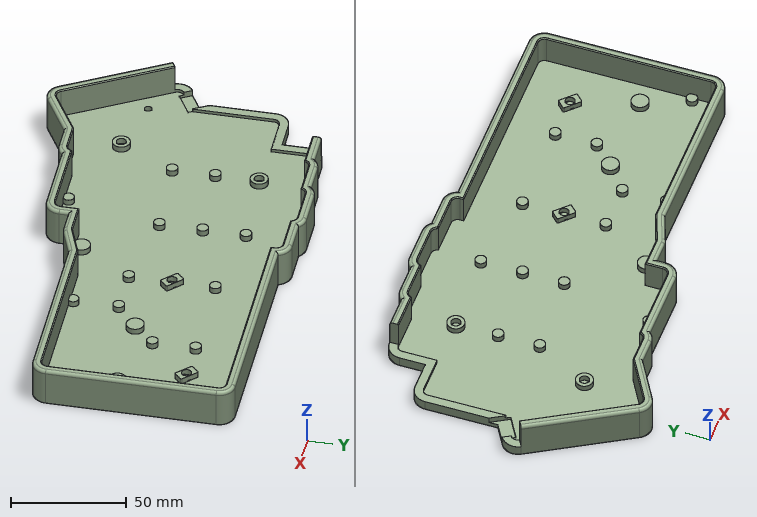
import cadquery as cq
import math


height = 18.1
length_x = 222.55
width_y = 126.85
wall = 4.0
floor_top = 4.0
corner_radius = 7.0
rim_fillet = 1.5
rim_inner_chamfer = 0.5
base_chamfer = 0.6

key_pitch = 19.05
stagger = key_pitch / 8
left_x = 12.1
left_back_y = 103.3
first_column_x = 32.6
second_column_x = 53.1
third_column_x = second_column_x + key_pitch
second_column_end_x = 122.5
third_column_end_x = 102.9
outer_front_y = 12.0
middle_front_y = outer_front_y + stagger
outer_front_end_x = 73.9
middle_front_end_x = 112.7
right_front_y = 30.65
right_back_y = width_y - 3 * stagger

overlap_left_x = 40.0
overlap_middle_x = 80.0
overlap_right_x = 100.0
overlap_y = 50.0
overlap_back_y = 80.0

blocks = [
    (left_x, overlap_y, overlap_middle_x, left_back_y),
    (first_column_x, overlap_y, overlap_middle_x, width_y - 2 * stagger),
    (second_column_x, overlap_y, second_column_end_x, width_y - stagger),
    (third_column_x, overlap_y, third_column_end_x, width_y),
    (overlap_right_x, right_front_y, length_x, right_back_y),
    (overlap_left_x, outer_front_y, outer_front_end_x, overlap_back_y),
    (overlap_left_x, middle_front_y, middle_front_end_x, overlap_back_y),
]

ramp_front_y = 25.4
ramp_start_x = 124.0
ramp_end_x = 138.2

thumb_angle = 30.0
thumb_corner = (32.95, corner_radius)
thumb_width = 45.0
thumb_arc_spacing = (thumb_corner[0] - corner_radius) / math.sin(math.radians(thumb_angle))
thumb_back = thumb_arc_spacing + corner_radius

low_rim_top = 5.45
low_rim_end_x = 39.9
low_rim_thumb_length = 25.0
notch_floor = 2.7
notch_depth = 6.1
notch_length = 12.0

post_top = 6.7
post_height = post_top - floor_top
post_diameter = 5.0
pad_diameter = 7.8
insert_hole_diameter = 4.3
bar_length = 9.0
bar_width = 5.0
bar_corner_radius = 0.5
bar_angle = -45.0
reset_hole_diameter = 3.3

column_1_x = 59.2
column_2_x = column_1_x + 2 * key_pitch
column_3_x = column_2_x + 2 * key_pitch
column_4_x = 178.3
front_post_x = 156.5
right_row_y = 94.75

post_rows = [
    (column_1_x, 79.3, key_pitch, 2),
    (column_2_x, 100.5, key_pitch, 3),
    (column_3_x, right_row_y, 2 * key_pitch, 2),
    (column_4_x, right_row_y, key_pitch, 2),
]
single_posts = [(front_post_x, 56.5), (front_post_x, 36.4), (216.5, 45.6), (87.8, 20.5)]
pad_points = [(168.5, 66.15), (207.4, 66.15), (119.2, 32.5)]
ring_points = [(column_1_x, 98.6), (45.8, 35.2)]
bar_points = [(column_3_x, right_row_y - key_pitch), (197.4, 94.6)]
reset_hole_point = (17.9, 41.4)


def rounded_block(x_min, y_min, x_max, y_max, inset, z, depth):
    size_x = x_max - x_min - 2 * inset
    size_y = y_max - y_min - 2 * inset
    center = ((x_min + x_max) / 2, (y_min + y_max) / 2, z)
    block = cq.Workplane("XY", origin=center).rect(size_x, size_y).extrude(depth)
    return block.edges("|Z").fillet(corner_radius - inset)


def in_thumb_frame(shape):
    """Move a shape from the thumb block's own axes to its place in the case."""
    turned = shape.rotate((0, 0, 0), (0, 0, 1), thumb_angle)
    return turned.translate((*thumb_corner, 0))


def thumb_block(inset, z, depth):
    front = -corner_radius
    block = rounded_block(front, front, front + thumb_width, thumb_back, inset, z, depth)
    return in_thumb_frame(block)


def ramp_block(inset, z, depth):
    slope = math.atan2(right_front_y - ramp_front_y, ramp_end_x - ramp_start_x)
    shift = inset * math.tan(slope / 2)
    start_x = ramp_start_x - shift
    end_x = ramp_end_x - shift
    front_y = ramp_front_y + inset
    block = (
        cq.Workplane("XY", origin=(0, 0, z))
        .moveTo(overlap_right_x, front_y)
        .lineTo(start_x, front_y)
        .lineTo(end_x, right_front_y + inset)
        .lineTo(end_x, overlap_y)
        .lineTo(overlap_right_x, overlap_y)
        .close()
        .extrude(depth)
    )
    start_edge = cq.selectors.NearestToPointSelector((start_x, front_y, z + depth / 2))
    return block.edges(start_edge).fillet(corner_radius - inset)


def plan_solid(inset, z, depth):
    """The case outline moved inwards by inset, with its inside corners left sharp."""
    solid = thumb_block(inset, z, depth).union(ramp_block(inset, z, depth))
    for block in blocks:
        solid = solid.union(rounded_block(*block, inset, z, depth))
    return solid.clean()


def make_tray():
    body = plan_solid(0, 0, height)
    body = body.faces(">Z").edges().fillet(rim_fillet)
    body = body.faces("<Z").chamfer(base_chamfer)
    cavity = plan_solid(wall, floor_top, height)
    flare = plan_solid(wall - rim_inner_chamfer, height - rim_inner_chamfer, 2 * rim_inner_chamfer)
    flare = flare.faces("<Z").chamfer(rim_inner_chamfer)
    return body.cut(cavity).cut(flare)


def low_rim_cut():
    level = cq.Workplane("XY", origin=(0, 0, low_rim_top))
    left = level.rect(low_rim_end_x, width_y, centered=False).extrude(height)
    left = left.translate((0, thumb_corner[1] + thumb_back, 0))
    tip = level.rect(low_rim_thumb_length, low_rim_thumb_length, centered=False).extrude(height)
    tip = tip.translate((-corner_radius, thumb_arc_spacing, 0))
    return left.union(in_thumb_frame(tip))


def notch_cut():
    notch = cq.Workplane("XY", origin=(notch_length / 2, thumb_back, notch_floor))
    notch = notch.rect(notch_length, 2 * notch_depth).extrude(height)
    return in_thumb_frame(notch)


def cylinders(points, diameter, z, depth):
    return cq.Workplane("XY", origin=(0, 0, z)).pushPoints(points).circle(diameter / 2).extrude(depth)


def make_bar(point):
    bar = cq.Workplane("XY").rect(bar_length, bar_width).extrude(post_height)
    bar = bar.edges("|Z").fillet(bar_corner_radius)
    return bar.rotate((0, 0, 0), (0, 0, 1), bar_angle).translate((*point, floor_top))


def add_posts(tray):
    points = list(single_posts)
    for x, rear_y, spacing, count in post_rows:
        points += [(x, rear_y - i * spacing) for i in range(count)]
    tray = tray.union(cylinders(points, post_diameter, floor_top, post_height))
    tray = tray.union(cylinders(pad_points + ring_points, pad_diameter, floor_top, post_height))
    for point in bar_points:
        tray = tray.union(make_bar(point))
    return tray.cut(cylinders(ring_points + bar_points, insert_hole_diameter, floor_top, post_height))


result = make_tray().cut(low_rim_cut()).cut(notch_cut())
result = add_posts(result)
result = result.cut(cylinders([reset_hole_point], reset_hole_diameter, 0, floor_top))